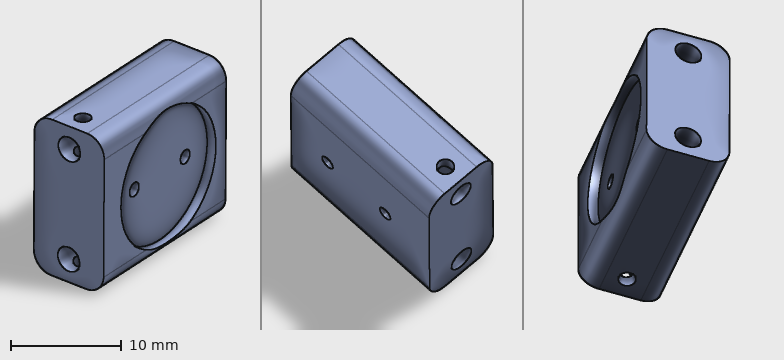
import cadquery as cq
import math

overall_length = 18.11
width = 8.0
height = 16.3
corner_radius = 2.0
tilt = 0.4
tilt_angle = math.radians(tilt)
length = (overall_length - height * math.sin(tilt_angle)) / math.cos(tilt_angle)

long_hole_diameter = 2.5
long_hole_spacing = 11.5

vertical_hole_diameter = 1.6
vertical_hole_y = -length / 2 + corner_radius

cross_hole_diameter = 1.4
cross_hole_spacing = 7.5
pocket_center_y = 0.5
pocket_diameter = 14.0
pocket_depth = 1.0


def make_block():
    """Block with its four lengthwise edges rounded."""
    return cq.Workplane("XY").box(width, length, height).edges("|Y").fillet(corner_radius)


def make_long_holes():
    """Cylinders along Y, one above the other."""
    half_spacing = long_hole_spacing / 2
    return (
        cq.Workplane("XZ")
        .pushPoints([(0, -half_spacing), (0, half_spacing)])
        .circle(long_hole_diameter / 2)
        .extrude(length, both=True)
    )


def make_vertical_hole():
    """Cylinder along Z through the full height."""
    return (
        cq.Workplane("XY")
        .center(0, vertical_hole_y)
        .circle(vertical_hole_diameter / 2)
        .extrude(height, both=True)
    )


def make_cross_holes():
    """Cylinders along X through the full width."""
    half_spacing = cross_hole_spacing / 2
    return (
        cq.Workplane("YZ")
        .center(pocket_center_y, 0)
        .pushPoints([(-half_spacing, 0), (half_spacing, 0)])
        .circle(cross_hole_diameter / 2)
        .extrude(width, both=True)
    )


def make_pocket():
    """Round pocket in the +X face; it runs into the rounded edges."""
    return (
        cq.Workplane("YZ", origin=(width / 2 - pocket_depth, pocket_center_y, 0))
        .circle(pocket_diameter / 2)
        .extrude(pocket_depth)
    )


block = (
    make_block()
    .cut(make_long_holes())
    .cut(make_vertical_hole())
    .cut(make_cross_holes())
    .cut(make_pocket())
)

result = block.rotate((0, 0, 0), (1, 0, 0), -tilt)